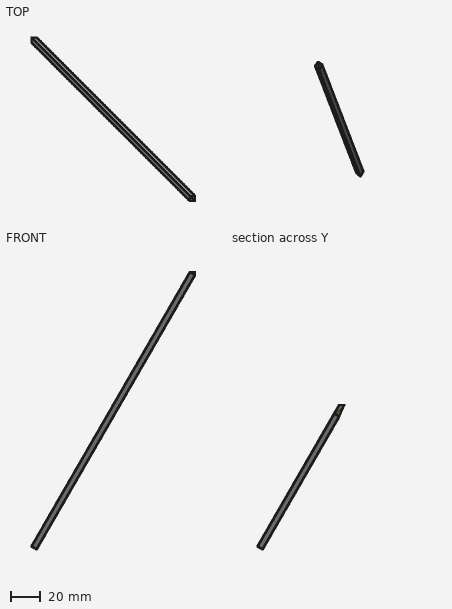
import cadquery as cq
import math

end_slope = math.radians(30)
side_lean = math.radians(60)
corner_drop = 2.0
rise = 184.41

side = corner_drop / math.tan(end_slope)
run = rise / math.tan(side_lean)

bar_vector = cq.Vector(run, -run, rise)

lower_corners = [
    cq.Vector(0, 0, 0),
    cq.Vector(0, -side, 0),
    cq.Vector(side, -side, -corner_drop),
    cq.Vector(side, 0, 0),
]
upper_corners = [corner + bar_vector for corner in lower_corners]


def flat_face(*corners):
    """Flat face bounded by straight edges through the given corners."""
    return cq.Face.makeFromWires(cq.Wire.makePolygon(corners, close=True))


def end_faces(corners):
    """Two triangles folded along the diagonal that runs to the dropped corner."""
    ridge_start, left, dropped, right = corners
    return [
        flat_face(ridge_start, left, dropped),
        flat_face(ridge_start, dropped, right),
    ]


def side_faces(lower, upper):
    """One parallelogram along the bar for each edge of the end outline."""
    faces = []
    for i in range(len(lower)):
        following = (i + 1) % len(lower)
        faces.append(flat_face(lower[i], lower[following], upper[following], upper[i]))
    return faces


bar_faces = side_faces(lower_corners, upper_corners)
bar_faces += end_faces(lower_corners)
bar_faces += end_faces(upper_corners)

bar = cq.Solid.makeSolid(cq.Shell.makeShell(bar_faces)).fix()
result = cq.Workplane("XY").newObject([bar])